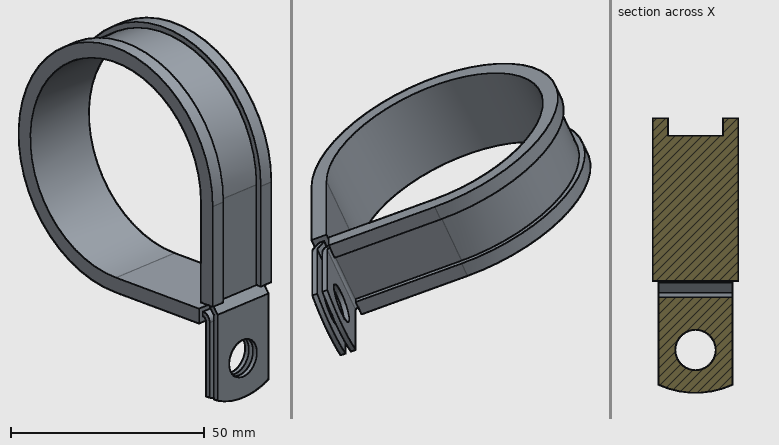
import cadquery as cq
import math

outer_radius = 34.4
inner_radius = 30.2
cushion_width = 22.1
vertical_leg_end = -28.3
horizontal_leg_end = 29.6

groove_depth = 1.6
groove_width = 14.1
groove_radius = outer_radius - groove_depth

strap_thickness = 1.4
tab_width = 19.1
tab_bottom = -57.1
tab_tip_sag = 2.1
outer_tab_face = 34.8
inner_tab_face = 31.95
bend_radius = 2.3
jog_drop = 2.6
jog_inner_lag = 0.5
embed = 1.8
hole_diameter = 10.3
hole_height = 11.1


def extrude_centered(sketch, width):
    """Extrude an XZ profile symmetrically about the XZ plane."""
    return sketch.extrude(width / 2, both=True)


def loop(radius):
    """Solid three-quarter round with two tangent legs meeting at a square corner."""
    sketch = (
        cq.Workplane("XZ")
        .moveTo(radius, 0)
        .lineTo(radius, -radius)
        .lineTo(0, -radius)
        .threePointArc((-radius * math.sqrt(0.5), radius * math.sqrt(0.5)), (radius, 0))
        .close()
    )
    return sketch


def make_cushion():
    flanged = extrude_centered(loop(outer_radius), cushion_width)
    groove = extrude_centered(loop(outer_radius), groove_width).cut(
        extrude_centered(loop(groove_radius), groove_width)
    )
    bore = extrude_centered(loop(inner_radius), cushion_width)
    corner_block = (
        cq.Workplane("XY")
        .box(outer_radius, cushion_width, outer_radius, centered=(False, True, False))
    )
    open_corner = corner_block.translate(
        (horizontal_leg_end, 0, vertical_leg_end - outer_radius)
    )
    return flanged.cut(groove).cut(bore).cut(open_corner)


def make_outer_tab():
    """Strap end leaving the vertical leg through an outward jog."""
    jog_bottom = vertical_leg_end - jog_drop
    sketch = (
        cq.Workplane("XZ")
        .moveTo(groove_radius, vertical_leg_end + embed)
        .lineTo(groove_radius, vertical_leg_end)
        .lineTo(outer_tab_face, jog_bottom)
        .lineTo(outer_tab_face, tab_bottom)
        .lineTo(outer_tab_face - strap_thickness, tab_bottom)
        .lineTo(outer_tab_face - strap_thickness, jog_bottom - jog_inner_lag)
        .lineTo(groove_radius - strap_thickness, vertical_leg_end - jog_inner_lag)
        .lineTo(groove_radius - strap_thickness, vertical_leg_end + embed)
        .close()
    )
    return extrude_centered(sketch, tab_width)


def make_inner_tab():
    """Strap end leaving the horizontal leg through a rounded right-angle bend."""
    bend_x = inner_tab_face - bend_radius
    strap_top = strap_thickness - groove_radius
    bend_z = strap_top - bend_radius
    inside_radius = bend_radius - strap_thickness
    diagonal = math.sqrt(0.5)

    def bend_middle(radius):
        return (bend_x + radius * diagonal, bend_z + radius * diagonal)

    sketch = (
        cq.Workplane("XZ")
        .moveTo(horizontal_leg_end - embed, strap_top)
        .lineTo(bend_x, strap_top)
        .threePointArc(bend_middle(bend_radius), (inner_tab_face, bend_z))
        .lineTo(inner_tab_face, tab_bottom)
        .lineTo(inner_tab_face - strap_thickness, tab_bottom)
        .lineTo(inner_tab_face - strap_thickness, bend_z)
        .threePointArc(bend_middle(inside_radius), (bend_x, bend_z + inside_radius))
        .lineTo(horizontal_leg_end - embed, bend_z + inside_radius)
        .close()
    )
    return extrude_centered(sketch, tab_width)


def make_tab_outline():
    """Block with the curved tip and bolt hole shared by both tabs."""
    half_width = tab_width / 2
    return (
        cq.Workplane("YZ")
        .moveTo(-half_width, 0)
        .lineTo(-half_width, tab_bottom + tab_tip_sag)
        .threePointArc((0, tab_bottom), (half_width, tab_bottom + tab_tip_sag))
        .lineTo(half_width, 0)
        .close()
        .moveTo(0, tab_bottom + hole_height)
        .circle(hole_diameter / 2)
        .extrude(outer_tab_face)
    )


tabs = make_outer_tab().union(make_inner_tab()).intersect(make_tab_outline())
result = make_cushion().union(tabs)